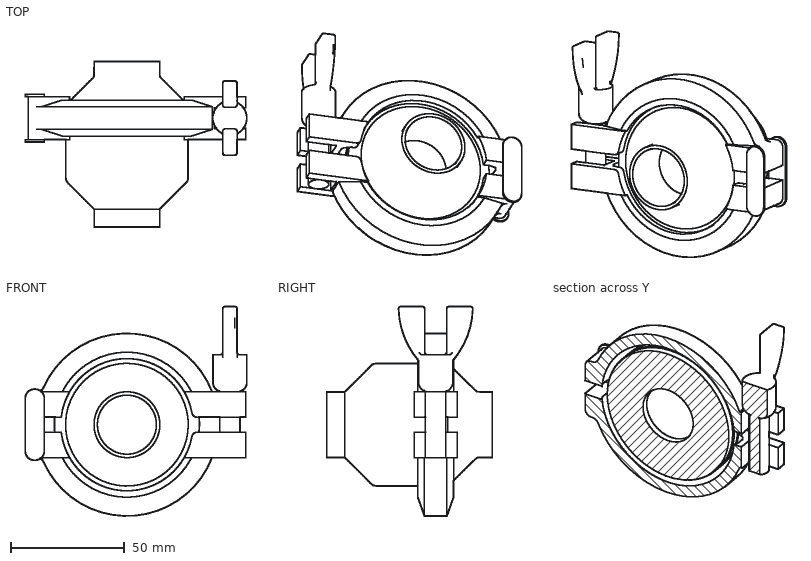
import cadquery as cq
import math


PIPE_RADIUS = 29.0 / 2
BORE_RADIUS = 26.0 / 2
BODY_RADIUS = 54.0 / 2
FRONT_END = -48.0
REAR_END = 25.0
FRONT_PIPE_START = -40.0
REAR_PIPE_START = 18.2
SHOULDER_FILLET = 3.1
REAR_PIPE_FILLET = 1.4

FLANGE_RADIUS = 64.0 / 2
DISC_THICKNESS = 1.4
RIM_END = 3.7
TAPER_ANGLE = math.radians(19)
RIM_FILLET = 0.8
NECK_FILLET = 1.9

CLAMP_RADIUS = 40.2
CLAMP_BORE_RADIUS = 29.1
LIP_RADIUS = 31.9
BAND_HALF_WIDTH = 5.0
LIP_HALF_WIDTH = 7.9
GROOVE_RADIUS = 35.6
GROOVE_WALL_RADIUS = 31.8
GROOVE_FILLET = 3.1

ARM_BOTTOM = 3.3
ARM_TOP = 14.55
ARM_HALF_WIDTH = 9.5
HINGE_ARM_END = -43.5
BOLT_ARM_END = 52.3
HINGE_CORNER_RADIUS = 3.1
HINGE_ROOT_FILLET = 3.2
GAP_CORNER_FILLET = 2.2
LINK_LEFT = -44.8
LINK_WIDTH = 8.5
LINK_HEIGHT = 31.4
LINK_THICKNESS = 1.1

BOLT_X = 45.3
BOLT_RADIUS = 9.0 / 2
SLOT_START = 38.5
KNOB_RADIUS = 15.0 / 2
KNOB_TOP = 30.9
KNOB_FILLET = 4.0
WING_TOP = 52.0
WING_WIDTH = 6.3
WING_INNER_Y = 4.8
WING_OUTER_Y = 16.4
WING_CURVE_RADIUS = 36.6
WING_ROOT_Z = 27.0
WING_FILLET = 1.1
WING_ROOT_FILLET = 1.0


def taper_y(radius):
    """Y distance of the flange taper from the clamp mid-plane at a radius."""
    return RIM_END + (FLANGE_RADIUS - radius) * math.tan(TAPER_ANGLE)


def revolve_y(points):
    """Turn a closed (radius, Y) outline around the Y axis."""
    return cq.Workplane("XY").polyline(points).close().revolve(360, (0, 0, 0), (0, 1, 0))


def ring_edge(solid, radius, y):
    """The circular edge of a turned body that has this radius and Y."""
    reach = radius + 1
    slab = 0.01
    near = cq.selectors.BoxSelector((-reach, y - slab, -reach), (reach, y + slab, reach))
    circles = solid.edges("%CIRCLE").edges(near)
    return circles.filter(lambda edge: abs(edge.radius() - radius) < slab)


def fillet_ring(solid, radius, y, size):
    return ring_edge(solid, radius, y).fillet(size)


def make_front_housing():
    face = -DISC_THICKNESS / 2
    neck = -taper_y(BODY_RADIUS)
    shoulder = FRONT_PIPE_START + BODY_RADIUS - PIPE_RADIUS
    housing = revolve_y([
        (BORE_RADIUS, face),
        (FLANGE_RADIUS, face),
        (FLANGE_RADIUS, -RIM_END),
        (BODY_RADIUS, neck),
        (BODY_RADIUS, shoulder),
        (PIPE_RADIUS, FRONT_PIPE_START),
        (PIPE_RADIUS, FRONT_END),
        (BORE_RADIUS, FRONT_END),
    ])
    housing = fillet_ring(housing, FLANGE_RADIUS, -RIM_END, RIM_FILLET)
    housing = fillet_ring(housing, BODY_RADIUS, neck, NECK_FILLET)
    return fillet_ring(housing, BODY_RADIUS, shoulder, SHOULDER_FILLET)


def make_rear_housing():
    face = DISC_THICKNESS / 2
    slope = math.tan(TAPER_ANGLE)
    cone_sum = PIPE_RADIUS + REAR_PIPE_START
    cone_radius = (cone_sum - RIM_END - FLANGE_RADIUS * slope) / (1 - slope)
    housing = revolve_y([
        (BORE_RADIUS, face),
        (FLANGE_RADIUS, face),
        (FLANGE_RADIUS, RIM_END),
        (cone_radius, taper_y(cone_radius)),
        (PIPE_RADIUS, REAR_PIPE_START),
        (PIPE_RADIUS, REAR_END),
        (BORE_RADIUS, REAR_END),
    ])
    housing = fillet_ring(housing, FLANGE_RADIUS, RIM_END, RIM_FILLET)
    return fillet_ring(housing, PIPE_RADIUS, REAR_PIPE_START, REAR_PIPE_FILLET)


def make_disc():
    return cq.Workplane("XZ").circle(FLANGE_RADIUS).extrude(DISC_THICKNESS / 2, both=True)


def box_between(x_range, half_width, z_range):
    """A box centred on Y = 0, given its X and Z limits."""
    return (
        cq.Workplane("XY")
        .box(x_range[1] - x_range[0], 2 * half_width, z_range[1] - z_range[0])
        .translate((sum(x_range) / 2, 0, sum(z_range) / 2))
    )


def make_clamp_ring():
    return revolve_y([
        (0, -LIP_HALF_WIDTH),
        (LIP_RADIUS, -LIP_HALF_WIDTH),
        (CLAMP_RADIUS, -BAND_HALF_WIDTH),
        (CLAMP_RADIUS, BAND_HALF_WIDTH),
        (LIP_RADIUS, LIP_HALF_WIDTH),
        (0, LIP_HALF_WIDTH),
    ])


def make_arms():
    """One bar across the ring; the gap later divides it into upper and lower arms."""
    bar = box_between((HINGE_ARM_END, BOLT_ARM_END), ARM_HALF_WIDTH, (-ARM_TOP, ARM_TOP))
    return bar.edges("<X and |Y").fillet(HINGE_CORNER_RADIUS)


def make_hinge_root(side):
    """Concave filler tangent to the ring and to the arm; side is +1 for the upper arm."""
    centre_z = ARM_TOP + HINGE_ROOT_FILLET
    centre_x = -math.sqrt((CLAMP_RADIUS + HINGE_ROOT_FILLET) ** 2 - centre_z ** 2)
    on_ring = CLAMP_RADIUS / (CLAMP_RADIUS + HINGE_ROOT_FILLET)
    ring_x, ring_z = centre_x * on_ring, centre_z * on_ring
    block = (
        cq.Workplane("XZ")
        .moveTo(centre_x, side * ARM_TOP)
        .lineTo(ring_x, side * ring_z)
        .lineTo(ring_x + HINGE_ROOT_FILLET, side * ARM_TOP)
        .close()
        .extrude(BAND_HALF_WIDTH, both=True)
    )
    hollow = (
        cq.Workplane("XZ")
        .center(centre_x, side * centre_z)
        .circle(HINGE_ROOT_FILLET)
        .extrude(BAND_HALF_WIDTH, both=True)
    )
    return block.cut(hollow)


def make_links():
    """Two round-ended plates that join the upper and lower arms at the hinge."""
    plates = cq.Workplane("XZ", origin=(LINK_LEFT + LINK_WIDTH / 2, 0, 0))
    return (
        plates.slot2D(LINK_HEIGHT, LINK_WIDTH, 90)
        .extrude(ARM_HALF_WIDTH + LINK_THICKNESS, both=True)
        .cut(cq.Workplane("XY").box(4 * LINK_HEIGHT, 2 * ARM_HALF_WIDTH, 2 * LINK_HEIGHT))
    )


def make_flange_groove():
    """Bore through the clamp with a tapered groove that clears the flanges."""
    bore = cq.Workplane("XZ").circle(CLAMP_BORE_RADIUS).extrude(2 * ARM_HALF_WIDTH, both=True)
    mouth = taper_y(CLAMP_BORE_RADIUS)
    floor = mouth - (GROOVE_RADIUS - GROOVE_WALL_RADIUS) * math.tan(TAPER_ANGLE)
    groove = revolve_y([
        (0, -mouth),
        (GROOVE_WALL_RADIUS, -mouth),
        (GROOVE_RADIUS, -floor),
        (GROOVE_RADIUS, floor),
        (GROOVE_WALL_RADIUS, mouth),
        (0, mouth),
    ])
    for y in (-floor, floor):
        groove = fillet_ring(groove, GROOVE_RADIUS, y, GROOVE_FILLET)
    return bore.union(groove)


def make_clamp():
    clamp = make_clamp_ring().union(make_arms())
    for side in (-1, 1):
        clamp = clamp.union(make_hinge_root(side))
    clamp = clamp.cut(make_flange_groove())

    clamp = clamp.cut(box_between((LINK_LEFT, BOLT_ARM_END), ARM_HALF_WIDTH, (-ARM_BOTTOM, ARM_BOTTOM)))
    corner_x = math.sqrt(CLAMP_BORE_RADIUS ** 2 - ARM_BOTTOM ** 2)
    near = 0.2
    corners = cq.selectors.BoxSelector(
        (corner_x - near, -ARM_HALF_WIDTH, -ARM_BOTTOM - near),
        (corner_x + near, ARM_HALF_WIDTH, ARM_BOTTOM + near),
    )
    clamp = clamp.edges("|Y").edges(corners).fillet(GAP_CORNER_FILLET)

    clamp = clamp.cut(box_between((SLOT_START, BOLT_ARM_END), BOLT_RADIUS, (-ARM_TOP, ARM_TOP)))
    return clamp.union(make_links())


def make_wing(side):
    """One wing of the knob; side is +1 for the wing towards +Y."""
    drop = WING_TOP - WING_ROOT_Z
    half_drop = drop / 2

    def curve_y(depth):
        return WING_OUTER_Y - WING_CURVE_RADIUS + math.sqrt(WING_CURVE_RADIUS ** 2 - depth ** 2)

    wing = (
        cq.Workplane("YZ")
        .moveTo(side * WING_INNER_Y, WING_TOP)
        .lineTo(side * WING_OUTER_Y, WING_TOP)
        .threePointArc(
            (side * curve_y(half_drop), WING_TOP - half_drop),
            (side * curve_y(drop), WING_ROOT_Z),
        )
        .lineTo(side * WING_INNER_Y, WING_ROOT_Z)
        .close()
        .extrude(WING_WIDTH / 2, both=True)
    )
    return wing.edges().fillet(WING_FILLET).translate((BOLT_X, 0, 0))


def make_wing_bolt():
    knob = (
        cq.Workplane("XY", origin=(BOLT_X, 0, ARM_TOP))
        .circle(KNOB_RADIUS)
        .extrude(KNOB_TOP - ARM_TOP)
        .faces("<Z").edges().fillet(KNOB_FILLET)
    )
    for side in (-1, 1):
        knob = knob.union(make_wing(side))
    margin = 0.1
    wing_roots = cq.selectors.BoxSelector(
        (BOLT_X - WING_WIDTH / 2 - margin, -KNOB_RADIUS - margin, WING_ROOT_Z),
        (BOLT_X + WING_WIDTH / 2 + margin, KNOB_RADIUS + margin, KNOB_TOP + margin),
    )
    knob = knob.edges(wing_roots).fillet(WING_ROOT_FILLET)
    shank = (
        cq.Workplane("XY", origin=(BOLT_X, 0, -ARM_TOP))
        .circle(BOLT_RADIUS)
        .extrude(2 * ARM_TOP)
    )
    return knob.union(shank)


front_housing = make_front_housing()
rear_housing = make_rear_housing()
disc = make_disc()
clamp = make_clamp()
wing_bolt = make_wing_bolt()

result = cq.Compound.makeCompound([
    front_housing.val(),
    rear_housing.val(),
    disc.val(),
    clamp.val(),
    wing_bolt.val(),
])